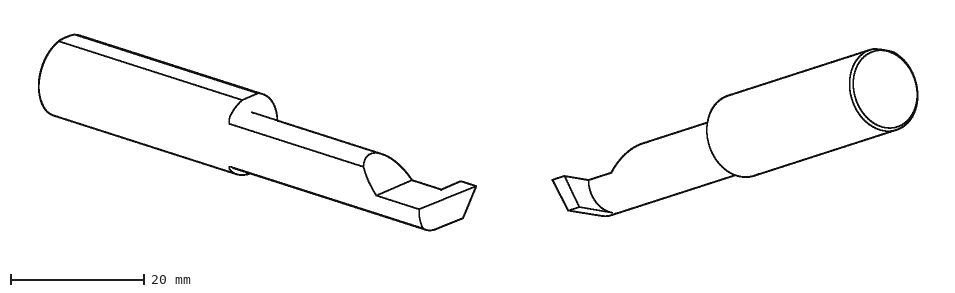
import cadquery as cq
import math

shank_diameter = 12.7
shank_radius = shank_diameter / 2
shank_length = 36.8
flat_height = 6.09
rear_chamfer = 0.4

total_length = 76.2
neck_radius = 4.43
neck_center_y = -2.55
neck_fillet = 0.6

rake_height = 0.0
rake_start = 67.3
ramp_angle = 45.0
flank_angle = 32.0
hook_width = 3.1
end_relief_angle = 2.0
end_clearance_angle = 2.0


def bar(start, end, radius):
    """Solid cylinder about the X axis between two X positions."""
    return cq.Workplane("YZ", origin=(start, 0, 0)).circle(radius).extrude(end - start)


def make_shank():
    body = bar(0, shank_length, shank_radius).faces("<X").chamfer(rear_chamfer)
    above_flat = (
        cq.Workplane("XY", origin=(0, 0, flat_height))
        .rect(2 * shank_length, shank_diameter)
        .extrude(shank_radius)
    )
    return body.cut(above_flat)


def make_neck():
    """Neck revolved about its own axis, flaring into the shoulder with a concave fillet."""
    flare_radius = neck_radius + neck_fillet
    arc_offset = neck_fillet * (1 - math.sqrt(0.5))
    return (
        cq.Workplane("XY", origin=(0, neck_center_y, 0))
        .moveTo(shank_length, 0)
        .lineTo(shank_length, flare_radius)
        .threePointArc(
            (shank_length + arc_offset, neck_radius + arc_offset),
            (shank_length + neck_fillet, neck_radius),
        )
        .lineTo(total_length, neck_radius)
        .lineTo(total_length, 0)
        .close()
        .revolve(360, (0, 0, 0), (1, 0, 0))
    )


def make_hook():
    """Cutting edge reaching out to the shank radius on +Y, its flank sloping back below the edge."""
    flank_setback = neck_radius * math.tan(math.radians(flank_angle))
    return (
        cq.Workplane("YZ", origin=(total_length - hook_width, 0, 0))
        .moveTo(neck_center_y, rake_height)
        .lineTo(shank_radius, rake_height)
        .lineTo(shank_radius - flank_setback, rake_height - neck_radius)
        .lineTo(neck_center_y, rake_height - neck_radius)
        .close()
        .extrude(hook_width)
    )


def make_ramp_cut():
    """Everything above the rake face and the ramp that leads down to it."""
    ramp_rise = shank_diameter
    ramp_run = ramp_rise / math.tan(math.radians(ramp_angle))
    beyond_end = total_length + hook_width
    return (
        cq.Workplane("XZ")
        .moveTo(rake_start, rake_height)
        .lineTo(beyond_end, rake_height)
        .lineTo(beyond_end, rake_height + ramp_rise)
        .lineTo(rake_start - ramp_run, rake_height + ramp_rise)
        .close()
        .extrude(shank_diameter, both=True)
    )


def make_end_cut():
    """Block beyond the end face, tilted about the tip corner of the hook."""
    tip = cq.Vector(total_length, shank_radius, rake_height)
    block_size = 4 * shank_diameter
    block = cq.Workplane("YZ", origin=tip.toTuple()).rect(block_size, block_size).extrude(block_size)
    block = block.rotate(tip, tip + cq.Vector(0, 0, 1), -end_relief_angle)
    return block.rotate(tip, tip + cq.Vector(0, 1, 0), end_clearance_angle)


neck_and_head = (
    make_neck()
    .cut(make_ramp_cut())
    .union(make_hook())
    .intersect(bar(shank_length, total_length, shank_radius))
    .cut(make_end_cut())
)
result = make_shank().union(neck_and_head)